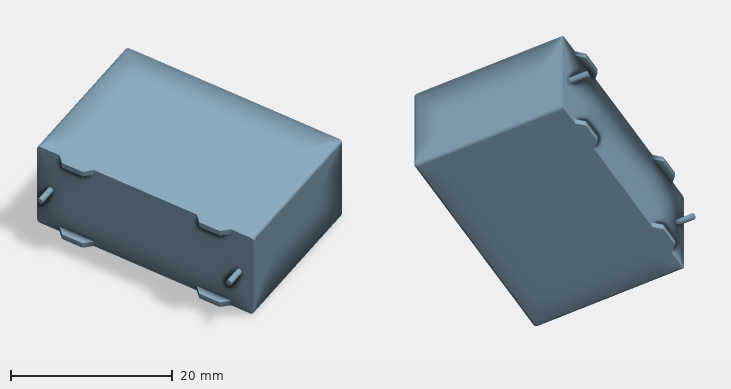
import cadquery as cq

case_width = 31.5
case_height = 13.0
overall_depth = 23.5
lead_length = 2.5
case_depth = overall_depth - lead_length
edge_radius = 0.45

lead_pitch = 27.5
lead_diameter = 0.8

foot_pitch = 20.0
foot_root_width = 5.0
foot_tip_width = 3.0
foot_length = 1.0
foot_thickness = 0.8


def make_case():
    """Box with its base on Y = 0 and every edge rounded except those of the base."""
    box = cq.Workplane("XY").box(case_width, case_depth, case_height, centered=(True, False, True))
    return box.edges("|Y or >Y").fillet(edge_radius)


def make_lead(x):
    """Round lead pointing toward -Y, at mid-height."""
    return cq.Workplane("XZ").center(x, 0).circle(lead_diameter / 2).extrude(lead_length)


def make_foot(x, bottom_z):
    """Tapered foot pointing toward -Y, with its lower face at bottom_z."""
    outline = [
        (x - foot_root_width / 2, 0),
        (x - foot_tip_width / 2, -foot_length),
        (x + foot_tip_width / 2, -foot_length),
        (x + foot_root_width / 2, 0),
    ]
    return cq.Workplane("XY").workplane(offset=bottom_z).polyline(outline).close().extrude(foot_thickness)


result = make_case()
for side in (-1, 1):
    result = result.union(make_lead(side * lead_pitch / 2))
    for bottom_z in (-case_height / 2, case_height / 2 - foot_thickness):
        result = result.union(make_foot(side * foot_pitch / 2, bottom_z))

result = result.translate((0, (lead_length - case_depth) / 2, 0))